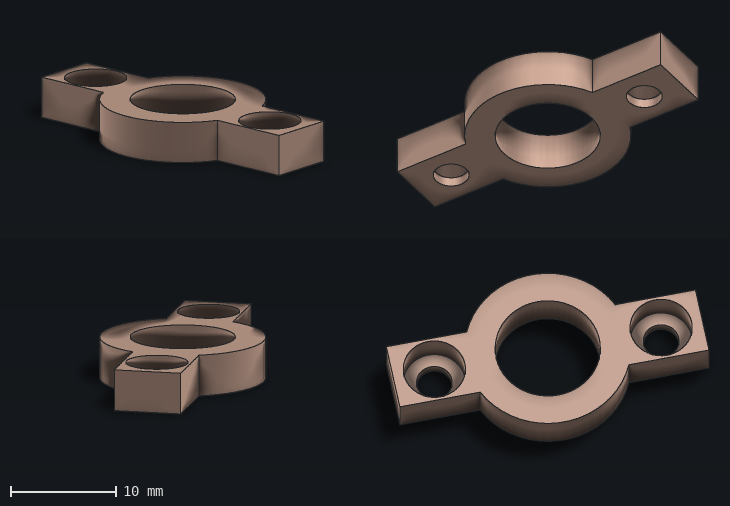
import cadquery as cq

length = 30.0
thickness = 4.0

ring_diameter = 15.8
bore_diameter = 10.0

ear_width = 6.48
hole_spacing = 22.0
hole_diameter = 3.4
counterbore_diameter = 5.9
floor_thickness = 1.0
counterbore_depth = thickness - floor_thickness

ring = cq.Workplane("XY").circle(ring_diameter / 2).extrude(thickness)
bar = cq.Workplane("XY").rect(length, ear_width).extrude(thickness)
body = ring.union(bar)

bore = cq.Workplane("XY").circle(bore_diameter / 2).extrude(thickness)
body = body.cut(bore)

result = (
    body.faces(">Z")
    .workplane(origin=(0, 0, thickness))
    .pushPoints([(side * hole_spacing / 2, 0) for side in (-1, 1)])
    .cboreHole(hole_diameter, counterbore_diameter, counterbore_depth)
)